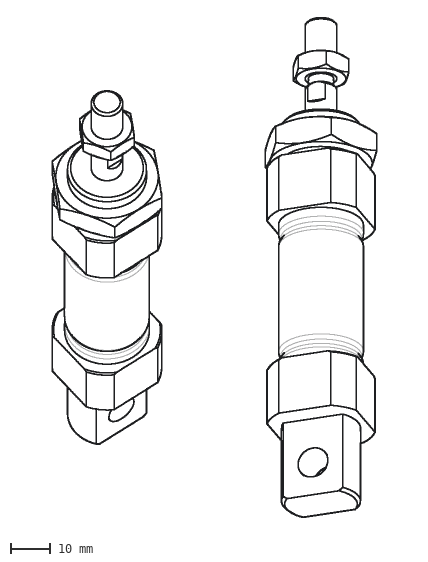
import cadquery as cq
import math


OVERALL_LENGTH = 134.0

TAIL_DIAMETER = 20.0
TAIL_THICKNESS = 12.0
TAIL_LENGTH = 21.2
TAIL_CHAMFER = 0.8
PIVOT_DIAMETER = 8.0
PIVOT_HEIGHT = 9.0

HEAD_ACROSS_FLATS = 24.0
HEAD_CORNER_DIAMETER = 27.8
HEAD_LENGTH = 15.3
HEAD_CHAMFER = 0.4
TUBE_DIAMETER = 21.5
TUBE_LENGTH = 41.2

GROOVE_DEPTH = 0.75
GROOVE_SLOPE = math.radians(45)
GROOVE_ROOT_RADIUS = 0.85
GROOVE_OFFSET = 4.2

NOSE_DIAMETER = 20.0
NOSE_LENGTH = 12.8
NOSE_CHAMFER = 0.81

ROD_DIAMETER = 8.0
ROD_TIP_DIAMETER = 6.65
ROD_NECK_DIAMETER = 6.4
ROD_SHOULDER_DROP = 18.5
ROD_FLATS_WIDTH = 6.5
ROD_FLATS_END_DROP = 22.8

MOUNT_NUT_ACROSS_FLATS = 26.0
MOUNT_NUT_THICKNESS = 7.0
MOUNT_NUT_CHAMFER_DIAMETER = 25.9
MOUNT_NUT_GAP = 2.0

LOCK_NUT_ACROSS_FLATS = 13.0
LOCK_NUT_THICKNESS = 5.0
LOCK_NUT_CHAMFER_DIAMETER = 12.6
LOCK_NUT_DROP = 10.5
NUT_CHAMFER_ANGLE = math.radians(30)

LOWER_HEAD_BASE = TAIL_LENGTH
TUBE_BASE = LOWER_HEAD_BASE + HEAD_LENGTH
UPPER_HEAD_BASE = TUBE_BASE + TUBE_LENGTH
NOSE_BASE = UPPER_HEAD_BASE + HEAD_LENGTH
MOUNT_NUT_BASE = NOSE_BASE + MOUNT_NUT_GAP
LOCK_NUT_BASE = OVERALL_LENGTH - LOCK_NUT_DROP - LOCK_NUT_THICKNESS
ROD_SHOULDER = OVERALL_LENGTH - ROD_SHOULDER_DROP
ROD_FLATS_END = OVERALL_LENGTH - ROD_FLATS_END_DROP


def cylinder(diameter, base, length):
    return cq.Workplane("XY").workplane(offset=base).circle(diameter / 2).extrude(length)


def centred_block(size_x, size_y, base, height):
    return cq.Workplane("XY").workplane(offset=base).rect(size_x, size_y).extrude(height)


def make_tail():
    """Round tail with two flats facing X and a pivot hole through them."""
    tail = cylinder(TAIL_DIAMETER, 0, TAIL_LENGTH).faces("<Z").chamfer(TAIL_CHAMFER)
    tail = tail.intersect(centred_block(TAIL_THICKNESS, TAIL_DIAMETER, 0, TAIL_LENGTH))
    pivot = cq.Workplane("YZ").center(0, PIVOT_HEIGHT).circle(PIVOT_DIAMETER / 2)
    return tail.cut(pivot.extrude(TAIL_THICKNESS / 2, both=True))


def make_head(base):
    """Square head with round corners, chamfered around its upper end."""
    blank = cylinder(HEAD_CORNER_DIAMETER, base, HEAD_LENGTH).faces(">Z").chamfer(HEAD_CHAMFER)
    return blank.intersect(centred_block(HEAD_ACROSS_FLATS, HEAD_ACROSS_FLATS, base, HEAD_LENGTH))


def make_groove(middle):
    """Ring to cut: a concave root arc that blends into the tube through two convex arcs."""
    tube_radius = TUBE_DIAMETER / 2
    root_radius = tube_radius - GROOVE_DEPTH
    radius_sum = GROOVE_DEPTH / (1 - math.cos(GROOVE_SLOPE))
    shoulder_radius = radius_sum - GROOVE_ROOT_RADIUS
    half_width = radius_sum * math.sin(GROOVE_SLOPE)
    blend_height = GROOVE_ROOT_RADIUS * math.sin(GROOVE_SLOPE)
    blend_radius = root_radius + GROOVE_ROOT_RADIUS * (1 - math.cos(GROOVE_SLOPE))
    mid_height = half_width - shoulder_radius * math.sin(GROOVE_SLOPE / 2)
    mid_radius = tube_radius - shoulder_radius * (1 - math.cos(GROOVE_SLOPE / 2))
    profile = (
        cq.Workplane("XZ")
        .moveTo(tube_radius, middle - half_width)
        .threePointArc((mid_radius, middle - mid_height), (blend_radius, middle - blend_height))
        .threePointArc((root_radius, middle), (blend_radius, middle + blend_height))
        .threePointArc((mid_radius, middle + mid_height), (tube_radius, middle + half_width))
        .close()
    )
    return profile.revolve(360, (0, 0), (0, 1))


def make_tube():
    tube = cylinder(TUBE_DIAMETER, TUBE_BASE, TUBE_LENGTH)
    for middle in (TUBE_BASE + GROOVE_OFFSET, UPPER_HEAD_BASE - GROOVE_OFFSET):
        tube = tube.cut(make_groove(middle))
    return tube


def make_cylinder_body():
    """Tail, heads, tube and nose as one solid, with a rod bore as deep as the nose."""
    nose = cylinder(NOSE_DIAMETER, NOSE_BASE, NOSE_LENGTH).faces(">Z").chamfer(NOSE_CHAMFER)
    body = make_tail().union(make_tube()).union(nose)
    for base in (LOWER_HEAD_BASE, UPPER_HEAD_BASE):
        body = body.union(make_head(base))
    return body.cut(cylinder(ROD_DIAMETER, NOSE_BASE, NOSE_LENGTH))


def make_rod():
    """Rod with a chamfered tip, a neck below the lock nut and two wrench flats facing X."""
    rod_radius = ROD_DIAMETER / 2
    neck_radius = ROD_NECK_DIAMETER / 2
    tip_radius = ROD_TIP_DIAMETER / 2
    shoulder_chamfer = rod_radius - neck_radius
    rod = (
        cq.Workplane("XZ")
        .moveTo(0, NOSE_BASE)
        .lineTo(rod_radius, NOSE_BASE)
        .lineTo(rod_radius, ROD_SHOULDER)
        .lineTo(neck_radius, ROD_SHOULDER + shoulder_chamfer)
        .lineTo(neck_radius, LOCK_NUT_BASE)
        .lineTo(rod_radius, LOCK_NUT_BASE)
        .lineTo(rod_radius, OVERALL_LENGTH - (rod_radius - tip_radius))
        .lineTo(tip_radius, OVERALL_LENGTH)
        .lineTo(0, OVERALL_LENGTH)
        .close()
        .revolve(360, (0, 0), (0, 1))
    )
    flat_depth = (ROD_DIAMETER - ROD_FLATS_WIDTH) / 2
    for side in (-1, 1):
        flat_cut = (
            cq.Workplane("XZ")
            .moveTo(side * ROD_FLATS_WIDTH / 2, LOCK_NUT_BASE)
            .lineTo(side * ROD_FLATS_WIDTH / 2, ROD_FLATS_END)
            .lineTo(side * rod_radius, ROD_FLATS_END - flat_depth)
            .lineTo(side * rod_radius, LOCK_NUT_BASE)
            .close()
            .extrude(rod_radius, both=True)
        )
        rod = rod.cut(flat_cut)
    return rod


def make_nut(base, across_flats, thickness, chamfer_diameter, bore_diameter):
    """Hexagon nut with flats facing X and conical chamfers on both ends."""
    corner_diameter = across_flats / math.cos(math.pi / 6)
    chamfer_run = (corner_diameter - chamfer_diameter) / 2
    chamfer_rise = chamfer_run * math.tan(NUT_CHAMFER_ANGLE)
    hexagon = (
        cq.Workplane("XY")
        .workplane(offset=base)
        .transformed(rotate=(0, 0, 90))
        .polygon(6, corner_diameter)
        .extrude(thickness)
    )
    turned_blank = (
        cq.Workplane("XZ")
        .moveTo(0, base)
        .lineTo(chamfer_diameter / 2, base)
        .lineTo(corner_diameter / 2, base + chamfer_rise)
        .lineTo(corner_diameter / 2, base + thickness - chamfer_rise)
        .lineTo(chamfer_diameter / 2, base + thickness)
        .lineTo(0, base + thickness)
        .close()
        .revolve(360, (0, 0), (0, 1))
    )
    return hexagon.intersect(turned_blank).cut(cylinder(bore_diameter, base, thickness))


cylinder_body = make_cylinder_body()
piston_rod = make_rod()
mounting_nut = make_nut(
    MOUNT_NUT_BASE,
    MOUNT_NUT_ACROSS_FLATS,
    MOUNT_NUT_THICKNESS,
    MOUNT_NUT_CHAMFER_DIAMETER,
    NOSE_DIAMETER,
)
lock_nut = make_nut(
    LOCK_NUT_BASE,
    LOCK_NUT_ACROSS_FLATS,
    LOCK_NUT_THICKNESS,
    LOCK_NUT_CHAMFER_DIAMETER,
    ROD_DIAMETER,
)

result = cq.Compound.makeCompound(
    [cylinder_body.val(), piston_rod.val(), mounting_nut.val(), lock_nut.val()]
)